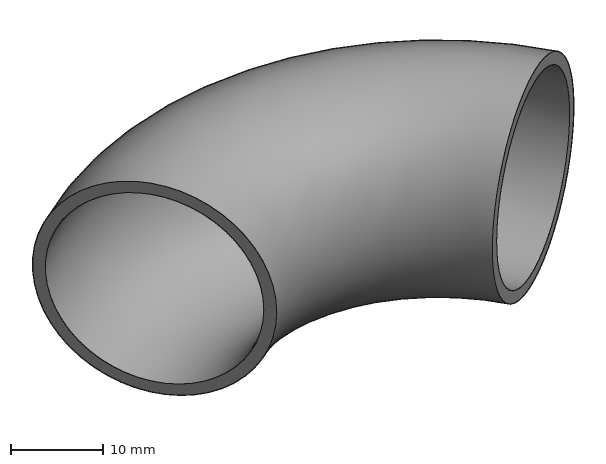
import cadquery as cq

overall_length = 46.5
outer_diameter = 28.0
wall_thickness = 1.5
bend_angle = 90.0

inner_diameter = outer_diameter - 2 * wall_thickness
bend_radius = overall_length - outer_diameter / 2


def pipe_elbow():
    """Ring section swept about the Z axis, from the -Y facing end to the +X facing end."""
    section = (
        cq.Workplane("XZ")
        .center(-bend_radius, 0)
        .circle(outer_diameter / 2)
        .circle(inner_diameter / 2)
    )
    axis_start = (bend_radius, 0)
    axis_end = (bend_radius, -1)
    return section.revolve(bend_angle, axis_start, axis_end)


result = pipe_elbow()